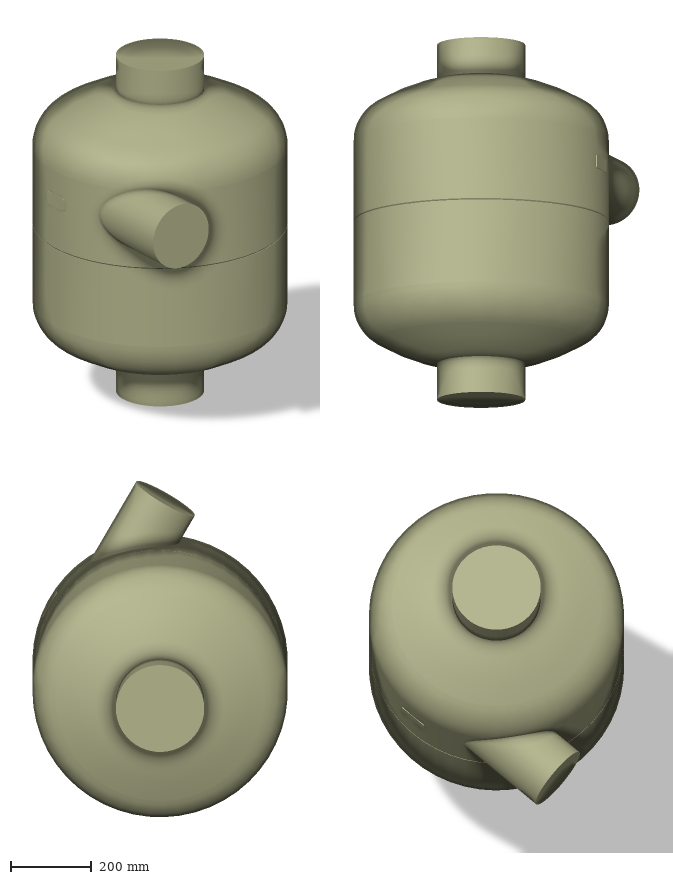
import cadquery as cq
import math

vessel_radius = 317.0
half_height = 448.0
cylinder_top = 207.0
junction_radius = 261.0
junction_z = 298.0
crown_radius = 514.0
neck_radius = 219.5 / 2

seam_bevel = 4.0

nozzle_radius = 168.0 / 2
nozzle_end_x = 374.5
nozzle_y = -200.0
nozzle_z = 130.0

plate_width = 73.0
plate_height = 32.0
plate_z = 129.0
plate_thickness = 1.0
plate_corner_radius = 4.5


def make_half():
    """Solid upper half: cylinder, domed head with a tangent knuckle, and straight neck."""
    rim_inset = vessel_radius - junction_radius
    junction_rise = junction_z - cylinder_top
    knuckle_radius = (rim_inset**2 + junction_rise**2) / (2 * rim_inset)
    knuckle_half_angle = math.asin(junction_rise / knuckle_radius) / 2
    knuckle_mid = (
        vessel_radius - knuckle_radius * (1 - math.cos(knuckle_half_angle)),
        cylinder_top + knuckle_radius * math.sin(knuckle_half_angle),
    )

    junction_angle = math.asin(junction_radius / crown_radius)
    neck_angle = math.asin(neck_radius / crown_radius)
    crown_center_z = junction_z - crown_radius * math.cos(junction_angle)

    def crown_point(angle):
        return (crown_radius * math.sin(angle), crown_center_z + crown_radius * math.cos(angle))

    return (
        cq.Workplane("XZ")
        .moveTo(0, 0)
        .lineTo(vessel_radius, 0)
        .lineTo(vessel_radius, cylinder_top)
        .threePointArc(knuckle_mid, (junction_radius, junction_z))
        .threePointArc(crown_point((junction_angle + neck_angle) / 2), crown_point(neck_angle))
        .lineTo(neck_radius, half_height)
        .lineTo(0, half_height)
        .close()
        .revolve(360, (0, 0, 0), (0, 1, 0))
    )


def make_upper_vessel():
    """Upper half with a beveled bottom rim, joined with the offset side nozzle."""
    half = make_half().faces("<Z").edges().chamfer(seam_bevel)
    nozzle = (
        cq.Workplane("YZ")
        .center(nozzle_y, nozzle_z)
        .circle(nozzle_radius)
        .extrude(nozzle_end_x)
    )
    return half.union(nozzle).solids()


def make_lower_vessel():
    """Lower half, a mirror image of the upper half without the nozzle."""
    return make_half().mirror("XY")


def make_nameplate():
    """Rounded plate with a flat face, its back following the vessel wall."""
    face_y = -(vessel_radius + plate_thickness)
    blank = (
        cq.Workplane("XZ", origin=(0, face_y, plate_z))
        .rect(plate_width, plate_height)
        .extrude(-9)
        .edges("|Y")
        .fillet(plate_corner_radius)
    )
    wall = cq.Workplane("XY").circle(vessel_radius).extrude(half_height)
    return blank.cut(wall).solids()


upper_vessel = make_upper_vessel()
lower_vessel = make_lower_vessel()
nameplate = make_nameplate()

result = cq.Compound.makeCompound(
    [upper_vessel.val(), lower_vessel.val(), nameplate.val()]
)